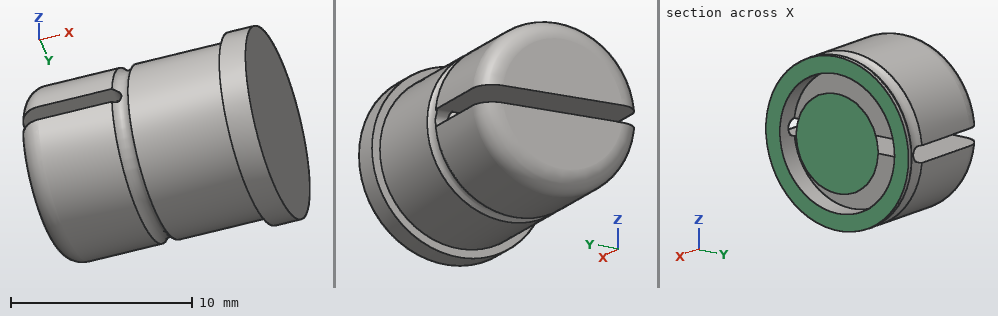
import cadquery as cq

total_length = 13.5
flange_diameter = 11.0
flange_thickness = 1.53
body_diameter = 10.0
nose_fillet = 1.23

groove_center = 6.01
groove_width = 0.95
groove_depth = 0.25

slot_width = 1.0
slot_depth = groove_center

ball_diameter = 7.98
ball_tip = slot_depth - slot_width / 2

nose_x = -total_length / 2
body_radius = body_diameter / 2
ball_radius = ball_diameter / 2
ball_center = ball_tip + ball_radius


def cylinder(diameter, start, length):
    """Cylinder on the X axis, starting at a distance behind the nose face."""
    base = cq.Workplane("YZ").workplane(offset=nose_x + start)
    return base.circle(diameter / 2).extrude(length)


def make_body():
    """Round body with a filleted nose and a flange at the rear."""
    body = cylinder(body_diameter, 0, total_length).faces("<X").edges().fillet(nose_fillet)
    flange = cylinder(flange_diameter, total_length - flange_thickness, flange_thickness)
    return body.union(flange)


def make_groove():
    """Ring with a circular-arc floor, cut into the body surface."""
    middle = nose_x + groove_center
    left = middle - groove_width / 2
    right = middle + groove_width / 2
    return (
        cq.Workplane("XY")
        .moveTo(left, body_radius)
        .threePointArc((middle, body_radius - groove_depth), (right, body_radius))
        .lineTo(right, flange_diameter / 2)
        .lineTo(left, flange_diameter / 2)
        .close()
        .revolve(360, (0, 0, 0), (1, 0, 0))
    )


def make_slot():
    """Slot running right across the nose along Y, with a half-round floor."""
    straight_end = nose_x + slot_depth - slot_width / 2
    half_width = slot_width / 2
    return (
        cq.Workplane("XZ")
        .moveTo(nose_x, half_width)
        .lineTo(straight_end, half_width)
        .threePointArc((nose_x + slot_depth, 0), (straight_end, -half_width))
        .lineTo(nose_x, -half_width)
        .close()
        .extrude(flange_diameter / 2, both=True)
    )


def make_ball():
    """Ball whose front touches the start of the round slot floor."""
    return cq.Workplane("XY").sphere(ball_radius).translate((nose_x + ball_center, 0, 0))


chamber = cylinder(ball_diameter, ball_tip, ball_radius)
shell = make_body().cut(make_groove()).cut(make_slot()).cut(chamber)
result = shell.union(make_ball())